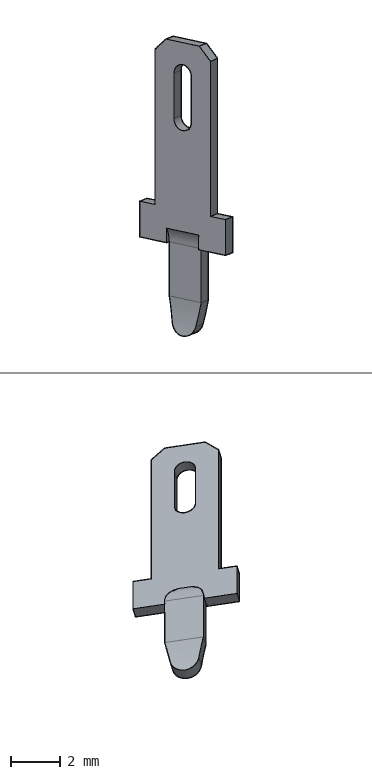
import cadquery as cq
import math

thickness = 0.50
blade_width = 2.80
blade_height = 7.11
shoulder_width = 4.32
shoulder_height = 1.52
chamfer_width = 0.56
chamfer_height = 0.54
top_z = shoulder_height + blade_height

slot_width = 0.87
slot_length = 2.79
slot_top_margin = 0.94

tongue_width = 1.61
tongue_setback = 0.175
bend_height = 0.62

straight_length = 2.29
tip_length = 1.52
tip_round_radius = 0.61
tip_sweep = 0.18


def arc_radius(length, offset):
    """Radius of an arc that leaves its tangent by `offset` over `length` along the tangent."""
    return (length**2 + offset**2) / (2 * offset)


tip_start_z = -straight_length
tip_end_z = tip_start_z - tip_length
bend_front_radius = arc_radius(bend_height, tongue_setback)
bend_back_radius = bend_front_radius + thickness
bend_center_y = tongue_setback - bend_front_radius
tip_front_radius = arc_radius(tip_length, tip_sweep)
tip_back_radius = tip_front_radius + thickness
tip_center_y = tongue_setback - tip_front_radius


def on_bend(radius, z):
    """Y-Z point at height z on an arc of the bend."""
    return (bend_center_y + math.sqrt(radius**2 - z**2), z)


def on_tip(radius, z):
    """Y-Z point at height z on an arc of the tip."""
    return (tip_center_y + math.sqrt(radius**2 - (z - tip_start_z) ** 2), z)


def make_blade():
    half_blade = blade_width / 2
    half_shoulder = shoulder_width / 2
    half_top = half_blade - chamfer_width
    outline = [
        (-half_shoulder, 0),
        (half_shoulder, 0),
        (half_shoulder, shoulder_height),
        (half_blade, shoulder_height),
        (half_blade, top_z - chamfer_height),
        (half_top, top_z),
        (-half_top, top_z),
        (-half_blade, top_z - chamfer_height),
        (-half_blade, shoulder_height),
        (-half_shoulder, shoulder_height),
    ]
    return cq.Workplane("XZ").polyline(outline).close().extrude(-thickness)


def make_slot():
    center_z = top_z - slot_top_margin - slot_length / 2
    return (
        cq.Workplane("XZ")
        .center(0, center_z)
        .slot2D(slot_length, slot_width, 90)
        .extrude(-thickness)
    )


def make_notch():
    """Hollow in the front of the shoulders, bounded behind by the bend's front arc."""
    return (
        cq.Workplane("YZ")
        .moveTo(0, bend_height)
        .threePointArc(on_bend(bend_front_radius, bend_height / 2), (tongue_setback, 0))
        .lineTo(0, 0)
        .close()
        .extrude(tongue_width / 2, both=True)
    )


def make_bent_strip():
    """Strip of constant thickness: bend, straight run, forward-curved tip."""
    front_y = tongue_setback
    back_y = tongue_setback + thickness

    bend_back_height = math.sqrt(bend_back_radius**2 - (thickness - bend_center_y) ** 2)
    tip_mid_z = (tip_start_z + tip_end_z) / 2

    return (
        cq.Workplane("YZ")
        .moveTo(0, bend_height)
        .threePointArc(on_bend(bend_front_radius, bend_height / 2), (front_y, 0))
        .lineTo(front_y, tip_start_z)
        .threePointArc(on_tip(tip_front_radius, tip_mid_z), on_tip(tip_front_radius, tip_end_z))
        .lineTo(*on_tip(tip_back_radius, tip_end_z))
        .threePointArc(on_tip(tip_back_radius, tip_mid_z), (back_y, tip_start_z))
        .lineTo(back_y, 0)
        .threePointArc(
            on_bend(bend_back_radius, bend_back_height / 2), (thickness, bend_back_height)
        )
        .close()
        .extrude(tongue_width / 2, both=True)
    )


def make_tongue_outline():
    """Prism along Y with a half-round top, straight sides, tangent tapers and a round end."""
    half_width = tongue_width / 2
    reach = tongue_setback + thickness
    round_center_z = tip_end_z + tip_round_radius

    corner_height = tip_start_z - round_center_z
    corner_distance = math.hypot(half_width, corner_height)
    corner_angle = math.atan2(corner_height, half_width)
    tangent_angle = corner_angle - math.acos(tip_round_radius / corner_distance)
    tangent_x = tip_round_radius * math.cos(tangent_angle)
    tangent_z = round_center_z + tip_round_radius * math.sin(tangent_angle)

    return (
        cq.Workplane("XZ")
        .moveTo(-half_width, 0)
        .lineTo(-half_width, tip_start_z)
        .lineTo(-tangent_x, tangent_z)
        .threePointArc((0, tip_end_z), (tangent_x, tangent_z))
        .lineTo(half_width, tip_start_z)
        .lineTo(half_width, 0)
        .threePointArc((0, half_width), (-half_width, 0))
        .close()
        .extrude(reach, both=True)
    )


blade = make_blade().cut(make_slot()).cut(make_notch())
tongue = make_bent_strip().intersect(make_tongue_outline())
result = blade.union(tongue)